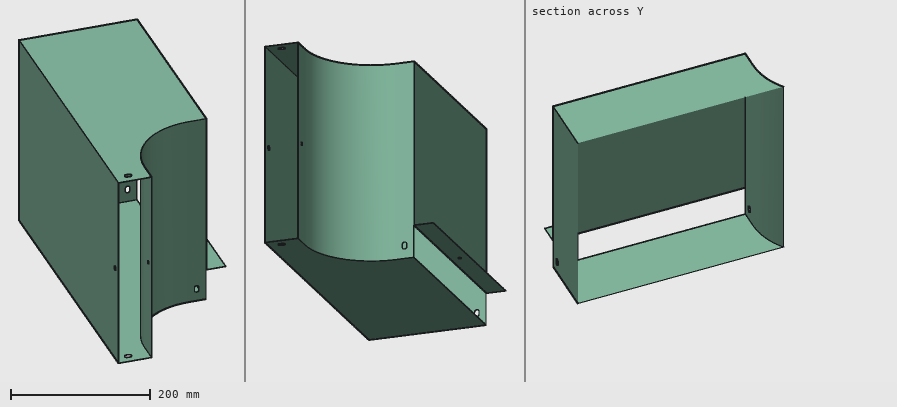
import cadquery as cq

length = 431.0
depth = 209.0
height = 300.0
sheet = 1.0

rear_width = 300.5
rear_y = 180.0
right_end_y = 51.5
corner_radius = 100.0

flange_bottom = 48.5

end_margin = 15.0
slot_edge_margin = 20.3
slot_width = 7.0
slot_length = 10.8
front_hole_diameter = 7.0
small_hole_diameter = 5.0
flange_hole_y = 194.0


def block(x0, x1, y0, y1, z0, z1):
    """Box between opposite corner coordinates."""
    return cq.Workplane("XY").box(x1 - x0, y1 - y0, z1 - z0, centered=False).translate((x0, y0, z0))


def elbow_prism(inset, bottom, top):
    """Elbow plan shrunk by inset at its walls, with open ends kept in place."""
    radius = corner_radius + inset
    inner_x = rear_width - inset
    inner_y = right_end_y - inset
    center_x = rear_width + corner_radius
    center_y = right_end_y + corner_radius
    diagonal = radius * 0.5**0.5
    return (
        cq.Workplane("XY", origin=(0, 0, bottom))
        .moveTo(inset, inset)
        .lineTo(length, inset)
        .lineTo(length, inner_y)
        .lineTo(center_x, inner_y)
        .threePointArc((center_x - diagonal, center_y - diagonal), (inner_x, center_y))
        .lineTo(inner_x, rear_y)
        .lineTo(inset, rear_y)
        .close()
        .extrude(top - bottom)
    )


def make_shell():
    """Thin elbow duct, open at the rear and right ends."""
    return elbow_prism(0, 0, height).cut(elbow_prism(sheet, sheet, height - sheet))


def make_rear_wall():
    """Wall closing the upper part of the rear end, folded outward into a flange."""
    wall = block(0, rear_width, rear_y - sheet, rear_y, flange_bottom, height)
    flange = block(0, rear_width, rear_y - sheet, depth, flange_bottom, flange_bottom + sheet)
    return wall.union(flange)


def make_rear_notch():
    """Strip that sets the lower rear edges back to the inner face of the rear wall."""
    return block(0, rear_width, rear_y - sheet, rear_y, 0, flange_bottom)


def make_side_slots():
    """Upright slots through the left and inner walls near the rear end."""
    slot_y = rear_y - end_margin
    return (
        cq.Workplane("YZ")
        .center(slot_y, slot_edge_margin)
        .slot2D(slot_length, slot_width, 90)
        .extrude(length)
    )


def make_end_slots():
    """Slots through the top and bottom plates near the right end."""
    return (
        cq.Workplane("XY")
        .center(length - end_margin, slot_edge_margin)
        .slot2D(slot_length, slot_width, 90)
        .extrude(height)
    )


def hole_along_y(diameter, start_y, end_y):
    """Cylinder at mid height near the right end."""
    center = cq.Vector(length - end_margin, start_y, height / 2)
    return cq.Workplane(cq.Solid.makeCylinder(diameter / 2, end_y - start_y, center, cq.Vector(0, 1, 0)))


def make_flange_hole():
    """Hole through the middle of the rear flange."""
    return (
        cq.Workplane("XY", origin=(0, 0, flange_bottom))
        .center(rear_width / 2, flange_hole_y)
        .circle(small_hole_diameter / 2)
        .extrude(sheet)
    )


housing = make_shell().union(make_rear_wall()).cut(make_rear_notch())
housing = housing.cut(make_side_slots()).cut(make_end_slots())
housing = housing.cut(hole_along_y(front_hole_diameter, 0, sheet))
housing = housing.cut(hole_along_y(small_hole_diameter, right_end_y - sheet, right_end_y))
result = housing.cut(make_flange_hole())